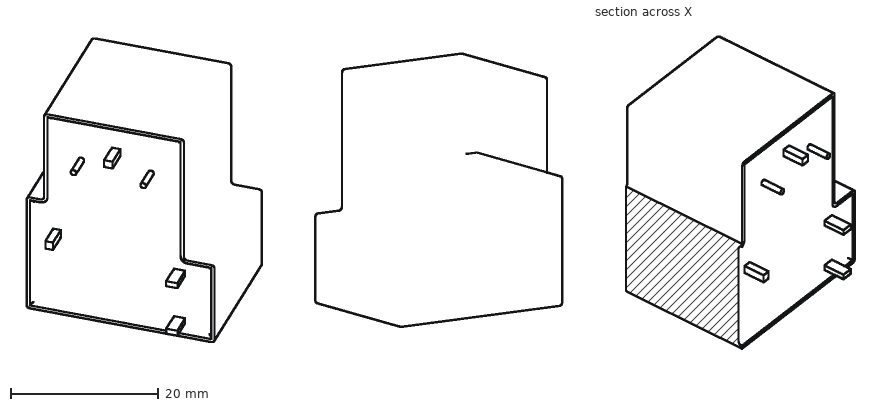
import cadquery as cq

WIDTH = 27.0
HEIGHT = 32.0
BODY_DEPTH = 20.2
PIN_PROJECTION = 2.8

UPPER_LEFT = 2.5
UPPER_RIGHT = 22.6
LEFT_SHOULDER = 18.0
RIGHT_SHOULDER = 12.5

CORNER_RADIUS = 0.5
BACK_EDGE_RADIUS = 0.3

RIM = 0.5
RECESS_DEPTH = 0.5
FLOOR_FILLET = RECESS_DEPTH
CUT_OVERSHOOT = 1.0

COIL_PIN_DIAMETER = 0.8
COM_PIN_LONG = 1.2
COM_PIN_SHORT = 1.1
CONTACT_PIN_WIDTH = 1.6
CONTACT_PIN_HEIGHT = 0.8

TOP_COM_X = 12.7
TOP_COM_Z = 27.65
COIL_PIN_OFFSET = 5.0
COIL_PIN_Z = 25.25
LEFT_COM_X = 4.2
LEFT_COM_Z = 12.7
CONTACT_PIN_X = 21.8
NORMALLY_OPEN_Z = 10.05
NORMALLY_CLOSED_Z = 2.35


def front_plane(y):
    """Sketch plane at depth y: local x is X, local y is Z, the normal points to -Y."""
    return cq.Workplane("XZ", origin=(0, y, 0))


def stepped_prism(inset, y_front, y_back):
    """Sharp-cornered stepped outline, moved inward by inset, between two depths."""
    outline = [
        (inset, inset),
        (WIDTH - inset, inset),
        (WIDTH - inset, RIGHT_SHOULDER - inset),
        (UPPER_RIGHT - inset, RIGHT_SHOULDER - inset),
        (UPPER_RIGHT - inset, HEIGHT - inset),
        (UPPER_LEFT + inset, HEIGHT - inset),
        (UPPER_LEFT + inset, LEFT_SHOULDER - inset),
        (inset, LEFT_SHOULDER - inset),
    ]
    return front_plane(y_back).polyline(outline).close().extrude(y_back - y_front)


def inner_corner_edges(prism, inset):
    """The two depth-wise edges where the shoulders meet the upper block."""
    corners = [
        (UPPER_LEFT + inset, LEFT_SHOULDER - inset),
        (UPPER_RIGHT - inset, RIGHT_SHOULDER - inset),
    ]
    middle_y = prism.val().Center().y
    edges = [prism.edges(cq.NearestToPointSelector((x, middle_y, z))).val() for x, z in corners]
    return prism.newObject(edges)


def make_body():
    """Housing block with rounded corners and a rounded back edge."""
    block = stepped_prism(0, 0, BODY_DEPTH).edges("|Y").fillet(CORNER_RADIUS)
    return block.faces(">Y").edges().fillet(BACK_EDGE_RADIUS)


def make_recess():
    """Recess volume: its floor fillet rises all the way to the inner edge of the rim."""
    prism = stepped_prism(RIM, -CUT_OVERSHOOT, RECESS_DEPTH)
    prism = inner_corner_edges(prism, RIM).fillet(CORNER_RADIUS + RIM)
    return prism.faces(">Y").edges().fillet(FLOOR_FILLET)


def pin_base(x, z):
    """Plane where a pin leaves the recess floor."""
    return front_plane(RECESS_DEPTH).center(x, z)


def rectangular_pin(x, z, width, height):
    return pin_base(x, z).rect(width, height).extrude(RECESS_DEPTH + PIN_PROJECTION)


def round_pin(x, z):
    return pin_base(x, z).circle(COIL_PIN_DIAMETER / 2).extrude(RECESS_DEPTH + PIN_PROJECTION)


def make_pins():
    pins = [
        rectangular_pin(TOP_COM_X, TOP_COM_Z, COM_PIN_LONG, COM_PIN_SHORT),
        rectangular_pin(LEFT_COM_X, LEFT_COM_Z, COM_PIN_SHORT, COM_PIN_LONG),
    ]
    for z in (NORMALLY_OPEN_Z, NORMALLY_CLOSED_Z):
        pins.append(rectangular_pin(CONTACT_PIN_X, z, CONTACT_PIN_WIDTH, CONTACT_PIN_HEIGHT))
    for side in (-1, 1):
        pins.append(round_pin(TOP_COM_X + side * COIL_PIN_OFFSET, COIL_PIN_Z))
    return pins


result = make_body().cut(make_recess())
for pin in make_pins():
    result = result.union(pin)